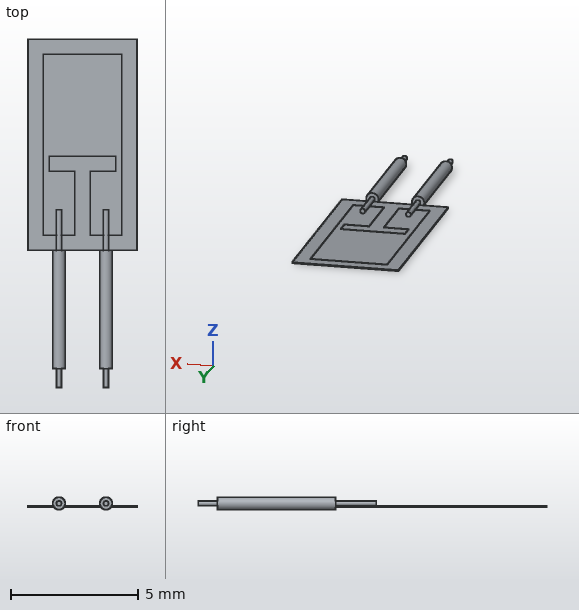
import cadquery as cq


carrier_width = 4.3
carrier_length = 8.3
carrier_thickness = 0.05

foil_margin = 0.6
foil_thickness = carrier_thickness / 2
foil_width = 3.1
foil_length = carrier_length - 2 * foil_margin

gap_width = 0.6
gap_bar_length = 2.6
gap_stem_length = 2.5

wire_diameter = 0.2
sleeve_diameter = 0.5
sleeve_length = 4.65
wire_overlap = 1.6
wire_bare_end = 0.75
lead_spacing = 1.85

wire_length = wire_overlap + sleeve_length + wire_bare_end
wire_height = carrier_thickness + wire_diameter / 2
lead_sides = (-1, 1)


def make_foil():
    """Rectangular foil with the T-shaped gap open at the lead end."""
    foil_bottom = carrier_thickness - foil_thickness
    sheet = (
        cq.Workplane("XY", origin=(0, foil_margin, foil_bottom))
        .rect(foil_width, foil_length)
        .extrude(foil_thickness)
        .translate((0, foil_length / 2, 0))
    )
    stem = (
        cq.Workplane("XY", origin=(0, foil_margin + gap_stem_length / 2, foil_bottom))
        .rect(gap_width, gap_stem_length)
        .extrude(foil_thickness)
    )
    bar = (
        cq.Workplane("XY", origin=(0, foil_margin + gap_stem_length + gap_width / 2, foil_bottom))
        .rect(gap_bar_length, gap_width)
        .extrude(foil_thickness)
    )
    return sheet.cut(stem).cut(bar)


def make_carrier(foil):
    """Flat film with a recess that the foil fills flush."""
    film = cq.Workplane("XY").box(
        carrier_width, carrier_length, carrier_thickness, centered=(True, False, False)
    )
    return film.cut(foil)


def make_wire(x):
    """Round wire resting on the foil and running out past the sleeve."""
    return (
        cq.Workplane("XZ", origin=(x, wire_overlap, wire_height))
        .circle(wire_diameter / 2)
        .extrude(wire_length)
    )


def make_sleeve(x):
    """Insulating tube around the wire, starting at the edge of the carrier."""
    return (
        cq.Workplane("XZ", origin=(x, 0, wire_height))
        .circle(sleeve_diameter / 2)
        .circle(wire_diameter / 2)
        .extrude(sleeve_length)
    )


foil = make_foil()
carrier = make_carrier(foil)
bodies = [carrier.val(), foil.val()]
for side in lead_sides:
    lead_x = side * lead_spacing / 2
    bodies.append(make_wire(lead_x).val())
    bodies.append(make_sleeve(lead_x).val())

result = cq.Compound.makeCompound(bodies)